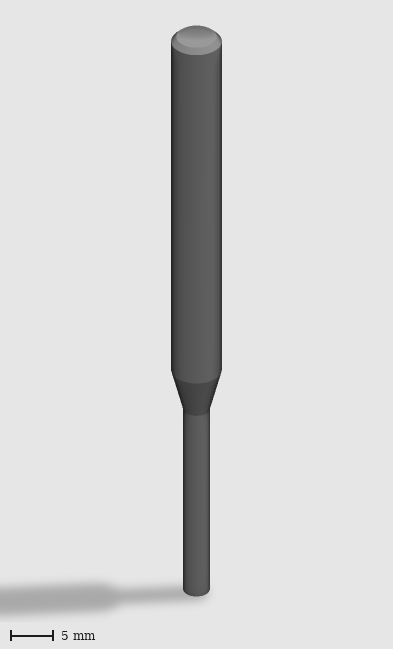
import cadquery as cq
import math

TOTAL_LENGTH = 78.55
SHANK_DIAMETER = 6.0
DRILL_DIAMETER = 3.15
POINT_ANGLE = 140.0
CUTTING_LENGTH = 15.95
NECK_LENGTH = 10.1
TAPER_LENGTH = 5.5
CHAMFER = 0.6

shank_radius = SHANK_DIAMETER / 2
drill_radius = DRILL_DIAMETER / 2
point_height = drill_radius / math.tan(math.radians(POINT_ANGLE / 2))

tip_z = -TOTAL_LENGTH / 2
point_top_z = tip_z + point_height
cutting_top_z = tip_z + CUTTING_LENGTH
neck_top_z = cutting_top_z + NECK_LENGTH
taper_top_z = neck_top_z + TAPER_LENGTH
top_z = tip_z + TOTAL_LENGTH


def revolve_profile(points):
    """Turn a closed (radius, z) outline about the Z axis."""
    return cq.Workplane("XZ").polyline(points).close().revolve(360, (0, 0), (0, 1))


def make_cutting_body():
    """Cylinder with a conical drill point."""
    return revolve_profile([
        (0, tip_z),
        (drill_radius, point_top_z),
        (drill_radius, cutting_top_z),
        (0, cutting_top_z),
    ])


def make_shank():
    """Neck, taper and gripping shank with a chamfered end."""
    blank = revolve_profile([
        (0, cutting_top_z),
        (drill_radius, cutting_top_z),
        (drill_radius, neck_top_z),
        (shank_radius, taper_top_z),
        (shank_radius, top_z),
        (0, top_z),
    ])
    return blank.faces(">Z").chamfer(CHAMFER)


cutting_body = make_cutting_body()
shank = make_shank()

result = cq.Compound.makeCompound([cutting_body.val(), shank.val()])